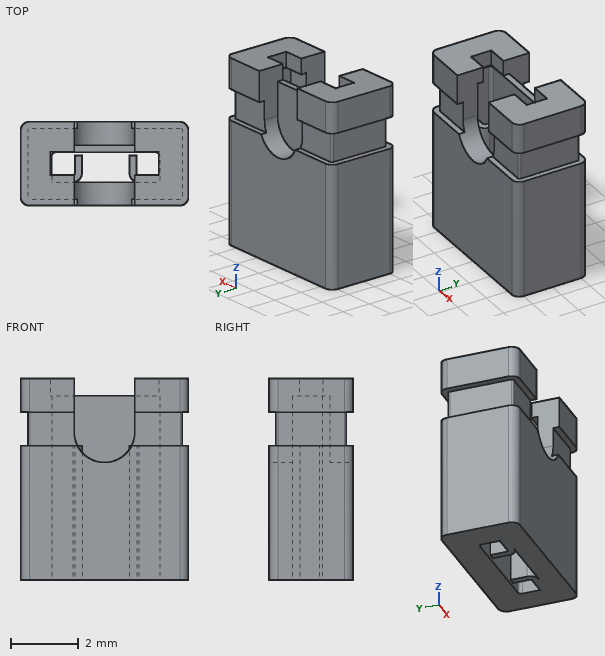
import cadquery as cq

LENGTH = 5.0
WIDTH = 2.5
HEIGHT = 6.0
CORNER_RADIUS = 0.265

GROOVE_BOTTOM = 4.0
GROOVE_TOP = 5.0
GROOVE_DEPTH = 0.2
NECK_OFFSET = 0.02

NOTCH_RADIUS = 0.9
NOTCH_DEPTH = 2.5

ROOF_THICKNESS = 0.51
OPENING_LENGTH = 3.215
OPENING_WIDTH = 0.7

SHEET = 0.215
CLIP_OFFSET = 0.035
CLIP_INNER_LENGTH = 3.205
CLIP_WIDTH = 1.105
CLIP_BEND = 0.11
SPRING_TOP = GROOVE_BOTTOM
SPRING_GAP = 1.405
SPRING_BEND = 0.06
SPRING_END = 0.245

ROOF_BOTTOM = HEIGHT - ROOF_THICKNESS
CLIP_LENGTH = CLIP_INNER_LENGTH + 2 * SHEET
CLIP_FRONT = -CLIP_WIDTH / 2


def block(length, width, bottom, top, center_x=0.0):
    """Upright box centred on Y = 0."""
    return (
        cq.Workplane("XY", origin=(center_x, 0, bottom))
        .rect(length, width)
        .extrude(top - bottom)
    )


def housing_outside():
    body = block(LENGTH, WIDTH, 0, HEIGHT).edges("|Z").fillet(CORNER_RADIUS)
    neck = block(
        LENGTH - 2 * GROOVE_DEPTH,
        WIDTH - 2 * GROOVE_DEPTH,
        GROOVE_BOTTOM,
        GROOVE_TOP,
        NECK_OFFSET,
    )
    neck = neck.edges("|Z").fillet(CORNER_RADIUS - GROOVE_DEPTH)
    groove = block(2 * LENGTH, 2 * WIDTH, GROOVE_BOTTOM, GROOVE_TOP).cut(neck)
    return body.cut(groove)


def notch():
    arc_bottom = HEIGHT - NOTCH_DEPTH
    arc_center = arc_bottom + NOTCH_RADIUS
    return (
        cq.Workplane("XZ")
        .moveTo(-NOTCH_RADIUS, HEIGHT)
        .lineTo(-NOTCH_RADIUS, arc_center)
        .threePointArc((0, arc_bottom), (NOTCH_RADIUS, arc_center))
        .lineTo(NOTCH_RADIUS, HEIGHT)
        .close()
        .extrude(WIDTH / 2, both=True)
    )


def housing():
    cavity = block(CLIP_LENGTH, CLIP_WIDTH, 0, ROOF_BOTTOM, CLIP_OFFSET)
    opening = block(OPENING_LENGTH, OPENING_WIDTH, ROOF_BOTTOM, HEIGHT)
    return housing_outside().cut(notch()).cut(cavity).cut(opening)


def clip_shell():
    """Back and side sheets: a channel open towards -Y."""
    inner_width = CLIP_WIDTH - SHEET
    inside = (
        cq.Workplane("XY", origin=(CLIP_OFFSET, -SHEET / 2, 0))
        .rect(CLIP_INNER_LENGTH, inner_width)
        .extrude(ROOF_BOTTOM)
        .edges("|Z and >Y")
        .fillet(CLIP_BEND)
    )
    return block(CLIP_LENGTH, CLIP_WIDTH, 0, ROOF_BOTTOM, CLIP_OFFSET).cut(inside)


def spring(side):
    """Front sheet folded inwards into a spring leg; side is -1 (left) or +1 (right)."""
    def point(distance, y):
        return (CLIP_OFFSET + side * distance, y)

    leg_inner = SPRING_GAP / 2
    leg_outer = leg_inner + SHEET
    side_sheet = CLIP_LENGTH / 2
    sheet_back = CLIP_FRONT + SHEET
    outline = (
        cq.Workplane("XY")
        .moveTo(*point(side_sheet, CLIP_FRONT))
        .lineTo(*point(leg_inner, CLIP_FRONT))
        .lineTo(*point(leg_inner, SPRING_END))
        .lineTo(*point(leg_outer, SPRING_END))
        .lineTo(*point(leg_outer, sheet_back))
        .lineTo(*point(side_sheet, sheet_back))
        .close()
    )
    inside_corner = cq.NearestToPointSelector((*point(leg_outer, sheet_back), SPRING_TOP / 2))
    outside_corner = cq.NearestToPointSelector((*point(leg_inner, CLIP_FRONT), SPRING_TOP / 2))
    return (
        outline.extrude(SPRING_TOP)
        .edges(inside_corner)
        .fillet(SPRING_BEND)
        .edges(outside_corner)
        .fillet(SPRING_BEND + SHEET)
    )


def contact_clip():
    return clip_shell().union(spring(-1)).union(spring(1))


result = housing().union(contact_clip())